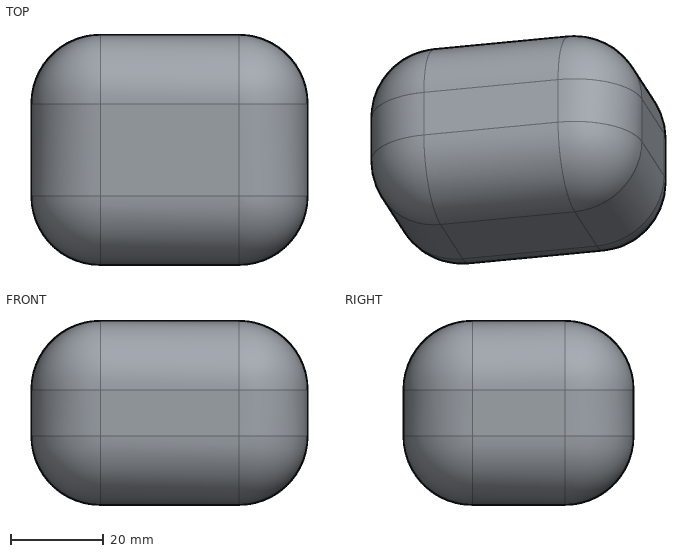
import cadquery as cq

length_x = 60.0
width_y = 50.0
height_z = 40.0

edge_radius = 15.0

block = cq.Workplane("XY").box(length_x, width_y, height_z)
result = block.edges().fillet(edge_radius)